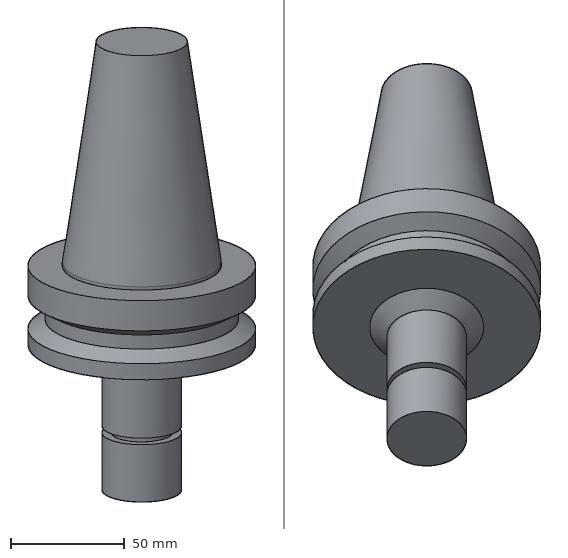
import cadquery as cq
import math


gauge_diameter = 69.85
taper_length = 101.8
taper_ratio = 7 / 24
taper_tip_diameter = gauge_diameter - taper_ratio * taper_length
gauge_land_length = 1.5

flange_diameter = 100.0
flange_top = -gauge_land_length
flange_bottom = -38.0
groove_diameter = 85.0
groove_center = -23.0
groove_floor_width = 6.5
groove_side_angle = 30.0
groove_depth = (flange_diameter - groove_diameter) / 2
groove_side_height = groove_depth * math.tan(math.radians(groove_side_angle))
groove_floor_top = groove_center + groove_floor_width / 2
groove_floor_bottom = groove_center - groove_floor_width / 2
groove_mouth_top = groove_floor_top + groove_side_height
groove_mouth_bottom = groove_floor_bottom - groove_side_height

shank_diameter = 35.0
shank_root_diameter = 50.0
shank_root_height = 6.0
shank_top = flange_bottom - shank_root_height
shank_bottom = -75.5
neck_diameter = 27.0
neck_length = 3.0

nut_diameter = shank_diameter
nut_bottom = -105.0
nut_top = shank_bottom - neck_length
nut_length = nut_top - nut_bottom


def make_holder():
    """Taper, flange, shank and neck as one turned body."""
    half_profile = [
        (0, taper_length),
        (taper_tip_diameter / 2, taper_length),
        (gauge_diameter / 2, 0),
        (gauge_diameter / 2, flange_top),
        (flange_diameter / 2, flange_top),
        (flange_diameter / 2, groove_mouth_top),
        (groove_diameter / 2, groove_floor_top),
        (groove_diameter / 2, groove_floor_bottom),
        (flange_diameter / 2, groove_mouth_bottom),
        (flange_diameter / 2, flange_bottom),
        (shank_root_diameter / 2, flange_bottom),
        (shank_diameter / 2, shank_top),
        (shank_diameter / 2, shank_bottom),
        (neck_diameter / 2, shank_bottom),
        (neck_diameter / 2, nut_top),
        (0, nut_top),
    ]
    return cq.Workplane("XZ").polyline(half_profile).close().revolve(360, (0, 0, 0), (0, 1, 0))


def make_nut():
    """Plain round nut seated against the end of the neck."""
    return cq.Workplane("XY").workplane(offset=nut_bottom).circle(nut_diameter / 2).extrude(nut_length)


holder = make_holder()
nut = make_nut()

result = cq.Compound.makeCompound([holder.val(), nut.val()])